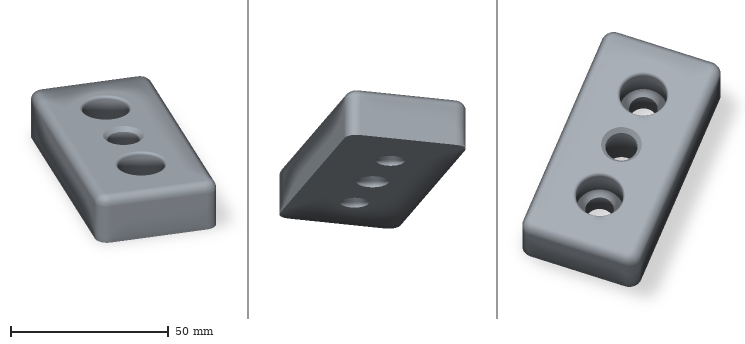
import cadquery as cq

length = 80.0
width = 40.0
height = 16.0
corner_radius = 4.0
top_edge_radius = 3.0

screw_spacing = length / 2
screw_hole_diameter = 9.0
counterbore_diameter = 15.0
counterbore_depth = 9.0
counterbore_rim_radius = 1.0

center_hole_diameter = 10.2
countersink_diameter = 13.0
countersink_angle = 90.0


def rounded_block():
    """Block on Z = 0 with rounded vertical corners and a rounded top edge."""
    block = cq.Workplane("XY").box(length, width, height, centered=(True, True, False))
    block = block.edges("|Z").fillet(corner_radius)
    return block.faces(">Z").edges().fillet(top_edge_radius)


def add_screw_holes(block):
    """Cut the two counterbored holes and round the rims of the counterbores."""
    half_spacing = screw_spacing / 2
    for x in (-half_spacing, half_spacing):
        block = (
            block.faces(">Z")
            .workplane(origin=(x, 0, height))
            .cboreHole(screw_hole_diameter, counterbore_diameter, counterbore_depth)
        )
    rims = block.faces(">Z").edges("%CIRCLE").edges(cq.selectors.RadiusNthSelector(-1))
    return rims.fillet(counterbore_rim_radius)


def add_center_hole(block):
    """Cut the countersunk hole through the middle of the block."""
    return (
        block.faces(">Z")
        .workplane(origin=(0, 0, height))
        .cskHole(center_hole_diameter, countersink_diameter, countersink_angle)
    )


result = add_center_hole(add_screw_holes(rounded_block()))